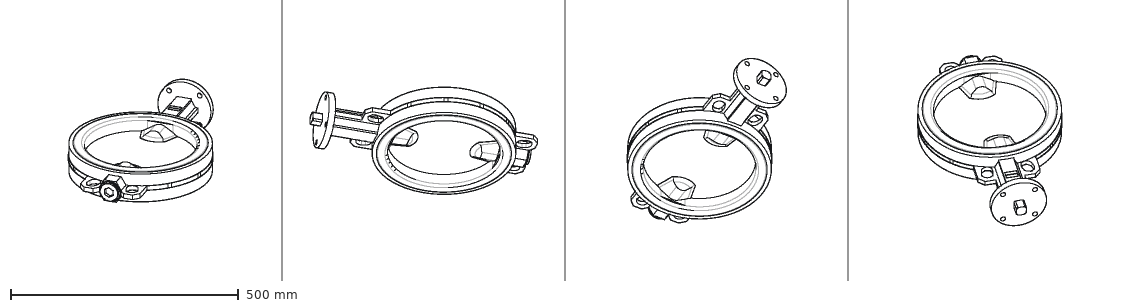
import cadquery as cq
import math


body_radius = 158.0
body_half_height = 34.0
liner_half_height = 35.5
liner_lip_radius = 148.6
liner_lip_step = 0.8
liner_face_radius = 146.2
bore_radius = 123.8
bore_round = 6.0
land_distance = 120.0
land_half_height = liner_half_height - bore_round
wall_overlap = 2.2

rib_radius = 159.265
rib_half_thickness = 5.5
lug_half_width = 70.0
lug_end = 198.0
lug_chamfer = 13.0
lower_lug_gap = 36.0
bolt_count = 12
bolt_hole_diameter = 26.0
bolt_circle_radius = 176.0
bolt_slot_stretch = 9.0

neck_across_flats = 50.0
neck_plate_half_width = 32.6
neck_pad_half_width = 17.3
neck_start = 140.0
lower_neck_end = 186.0
label_width = 26.5
label_height = 8.6
label_depth = 0.5
label_positions = (204.3, 213.7)

stem_end = 304.0
flange_radius = 62.5
flange_thickness = 15.0
flange_face = 281.6
flange_bolt_circle = 102.0
flange_hole_diameter = 11.0
flange_hole_count = 4
stem_diameter = 28.0
stem_square = 23.0
stem_chamfer = 1.5

plug_collar_radius = 24.0
plug_collar_end = 189.0
plug_radius = 21.0
plug_end = 194.0
plug_socket_flats = 20.0
plug_socket_depth = 8.0

disc_radius = bore_radius + wall_overlap
disc_center_half_thickness = 12.2
disc_edge_half_thickness = 4.0
hub_roof_half_width = 11.6
hub_roof_edge_height = 22.0
hub_crown_height = 25.5
hub_start = 60.0
hub_start_foot = (18.5, 14.0)
hub_start_toe = (25.8, 11.2)
hub_rim_foot = (38.6, 5.4)
hub_rim_toe = (45.0, 4.3)
hub_nose_axis = 108.0
hub_nose_crown_radius = 23.4
hub_nose_foot = (35.0, 14.7)
hub_nose_toe = (46.5, 10.4)
hub_full_section = 95.0


def box(x0, x1, y0, y1, z0, z1):
    return cq.Workplane("XY").box(x1 - x0, y1 - y0, z1 - z0, centered=False).translate((x0, y0, z0))


def stem_axis_plane(y):
    """Sketch plane across the stem at distance y, with local x = X and local y = Z, normal -Y."""
    return cq.Workplane("XZ", origin=(0, y, 0))


def hexagon_diameter(across_flats):
    return across_flats / math.cos(math.pi / 6)


def mirror_z(solid):
    return solid.union(solid.mirror("XY"))


def make_ring():
    lip_base = body_half_height + liner_lip_step
    upper_half = (
        cq.Workplane("XZ")
        .moveTo(bore_radius, 0)
        .lineTo(body_radius, 0)
        .lineTo(body_radius, body_half_height)
        .lineTo(liner_lip_radius, body_half_height)
        .lineTo(liner_lip_radius, lip_base)
        .lineTo(liner_face_radius, liner_half_height)
        .lineTo(bore_radius + bore_round, liner_half_height)
        .radiusArc((bore_radius, liner_half_height - bore_round), -bore_round)
        .close()
        .revolve(360, (0, 0, 0), (0, 1, 0))
    )
    ring = mirror_z(upper_half)
    half_width = math.sqrt(bore_radius**2 - land_distance**2)
    land_back = bore_radius + wall_overlap
    land = box(-half_width, half_width, land_distance, land_back, -land_half_height, land_half_height)
    return ring.union(land).union(land.mirror("XZ"))


def make_rib_and_lugs():
    rib = cq.Workplane("XY").circle(rib_radius).extrude(rib_half_thickness, both=True)
    side = lug_half_width
    shoulder = lug_end - lug_chamfer
    upper_lug = [
        (side, 0),
        (side, shoulder),
        (side - lug_chamfer, lug_end),
        (lug_chamfer - side, lug_end),
        (-side, shoulder),
        (-side, 0),
    ]
    hex_side = neck_across_flats / 2
    inner_shoulder = lug_end - (lower_lug_gap - hex_side)
    lower_lug = [
        (side, 0),
        (side, -shoulder),
        (side - lug_chamfer, -lug_end),
        (lower_lug_gap, -lug_end),
        (hex_side, -inner_shoulder),
        (hex_side, 0),
    ]
    for outline in (upper_lug, lower_lug, [(-x, y) for x, y in lower_lug]):
        rib = rib.union(cq.Workplane("XY").polyline(outline).close().extrude(rib_half_thickness, both=True))
    pitch = 360 / bolt_count
    slots = (
        cq.Workplane("XY")
        .polarArray(bolt_circle_radius, pitch / 2, 360, bolt_count)
        .slot2D(bolt_hole_diameter + bolt_slot_stretch, bolt_hole_diameter)
        .extrude(rib_half_thickness, both=True)
    )
    bore = cq.Workplane("XY").circle((bore_radius + body_radius) / 2).extrude(rib_half_thickness, both=True)
    return rib.cut(slots).cut(bore)


def make_upper_neck():
    length = flange_face - neck_start
    half_flats = neck_across_flats / 2
    neck = stem_axis_plane(flange_face).polygon(6, hexagon_diameter(neck_across_flats)).extrude(length)
    hex_slope = math.tan(math.pi / 3)
    pad_base = (hexagon_diameter(neck_across_flats) / 2 - neck_pad_half_width) * hex_slope
    pad = box(-neck_pad_half_width, neck_pad_half_width, neck_start, flange_face, pad_base, half_flats)
    for label_y in label_positions:
        label = box(
            -label_width / 2, label_width / 2,
            label_y - label_height / 2, label_y + label_height / 2,
            half_flats - label_depth, half_flats,
        )
        neck = neck.cut(label)
        pad = pad.cut(label)
    bottom_pad = box(-neck_pad_half_width, neck_pad_half_width, neck_start, flange_face, -half_flats, -pad_base)
    plate = box(
        -neck_plate_half_width, neck_plate_half_width,
        neck_start, flange_face,
        -rib_half_thickness, rib_half_thickness,
    )
    return neck.union(pad).union(bottom_pad).union(plate)


def make_flange_and_stem():
    flange = stem_axis_plane(flange_face).circle(flange_radius).extrude(flange_thickness)
    holes = (
        stem_axis_plane(flange_face)
        .polarArray(flange_bolt_circle / 2, 45, 360, flange_hole_count)
        .circle(flange_hole_diameter / 2)
        .extrude(flange_thickness)
    )
    length = stem_end - flange_face + flange_thickness / 2
    stem = stem_axis_plane(stem_end).circle(stem_diameter / 2).extrude(length)
    stem = stem.faces(">Y").chamfer(stem_chamfer)
    square = stem_axis_plane(stem_end).rect(stem_square, stem_square).extrude(length)
    return flange.cut(holes).union(stem.intersect(square))


def make_lower_neck():
    length = lower_neck_end - neck_start
    neck = stem_axis_plane(-neck_start).polygon(6, hexagon_diameter(neck_across_flats)).extrude(length)
    collar = stem_axis_plane(-neck_start).circle(plug_collar_radius).extrude(plug_collar_end - neck_start)
    plug = stem_axis_plane(-neck_start).circle(plug_radius).extrude(plug_end - neck_start)
    socket = (
        stem_axis_plane(-plug_end)
        .transformed(rotate=(0, 0, 30))
        .polygon(6, hexagon_diameter(plug_socket_flats))
        .extrude(-plug_socket_depth)
    )
    return neck.union(collar).union(plug).cut(socket)


def foot_arc_radius(foot, toe, flank_rise, flank_run):
    """Radius of the concave arc that leads from a flank at its foot to the flat disc at the toe."""
    chord = math.dist(foot, toe)
    turn = math.atan2(flank_rise, flank_run)
    return chord / (2 * math.sin(turn / 2))


def hub_section(work, foot, toe):
    """Half hub section above the mid-plane: round roof, sloping flanks and concave feet."""
    foot_x, foot_z = foot
    toe_x, toe_z = toe
    rise = hub_roof_edge_height - foot_z
    radius = foot_arc_radius(foot, toe, rise, foot_x - hub_roof_half_width)
    return (
        work.moveTo(-toe_x, 0)
        .lineTo(-toe_x, toe_z)
        .radiusArc((-foot_x, foot_z), -radius)
        .lineTo(-hub_roof_half_width, hub_roof_edge_height)
        .threePointArc((0, hub_crown_height), (hub_roof_half_width, hub_roof_edge_height))
        .lineTo(foot_x, foot_z)
        .radiusArc((toe_x, toe_z), -radius)
        .lineTo(toe_x, 0)
        .close()
    )


def make_hub_nose():
    """Flared cone whose inward half rounds the end of the hub."""
    foot_r, foot_z = hub_nose_foot
    rise = hub_crown_height - foot_z
    radius = foot_arc_radius(hub_nose_foot, hub_nose_toe, rise, foot_r - hub_nose_crown_radius)
    return (
        cq.Workplane("XZ", origin=(0, hub_nose_axis, 0))
        .moveTo(0, 0)
        .lineTo(0, hub_crown_height)
        .lineTo(hub_nose_crown_radius, hub_crown_height)
        .lineTo(*hub_nose_foot)
        .radiusArc(hub_nose_toe, -radius)
        .lineTo(hub_nose_toe[0], 0)
        .close()
        .revolve(360, (0, 0, 0), (0, 1, 0))
    )


def make_hub():
    start = hub_section(stem_axis_plane(hub_start), hub_start_foot, hub_start_toe)
    to_rim = start.workplane(offset=hub_start - disc_radius)
    hub = hub_section(to_rim, hub_rim_foot, hub_rim_toe).loft(ruled=True)
    outer = box(-disc_radius, disc_radius, hub_full_section, disc_radius, 0, hub_crown_height)
    return hub.intersect(make_hub_nose().union(outer))


def make_disc():
    dome_height = disc_center_half_thickness - disc_edge_half_thickness
    dome_radius = (disc_radius**2 + dome_height**2) / (2 * dome_height)
    half_disc = (
        cq.Workplane("XZ")
        .moveTo(0, 0)
        .lineTo(disc_radius, 0)
        .lineTo(disc_radius, disc_edge_half_thickness)
        .radiusArc((0, disc_center_half_thickness), -dome_radius)
        .close()
        .revolve(360, (0, 0, 0), (0, 1, 0))
    )
    rim = cq.Workplane("XY").circle(disc_radius).extrude(liner_half_height)
    hub = make_hub().intersect(rim)
    return mirror_z(half_disc.union(hub).union(hub.mirror("XZ")))


result = (
    make_ring()
    .union(make_rib_and_lugs())
    .union(make_upper_neck())
    .union(make_flange_and_stem())
    .union(make_lower_neck())
    .union(make_disc())
)